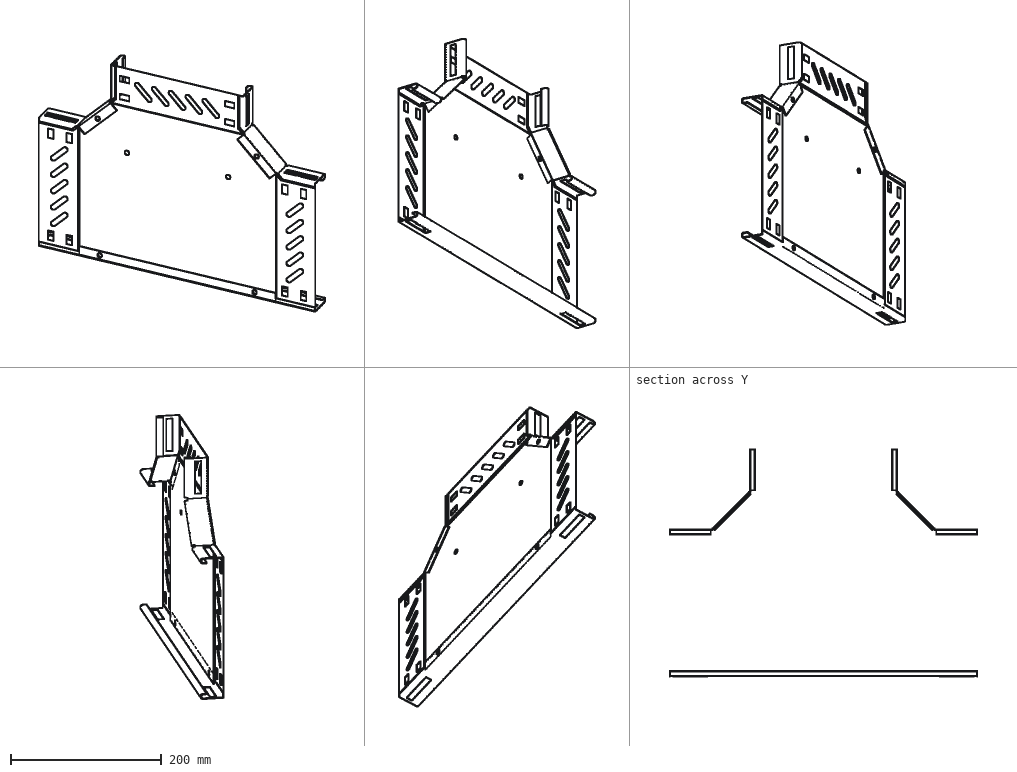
import cadquery as cq
import math


total_length = 408.0
total_height = 302.0
depth = 32.0
half_length = total_length / 2

plate_sheet = 1.0
side_sheet = 1.43
bend_radius = 1.5

arm_width = 196.0
arm_length = 57.5
half_arm = arm_width / 2
panel_half_width = half_length - arm_length
panel_top = total_height - arm_length

jog_width = 1.5
arm_side_margin = 7.8
corner_step = 1.0
arm_foot = 7.0

roll_radius = 3.88
lip_length = 5.0
wall_top = depth - roll_radius
profile_end_gap = 0.5
flange_width = 14.5
rail_flange_length = 289.8

bracket_strip = 6.0
corner_overrun = 1.5
strip_end_gap = 1.2
diagonal_end_gap = 1.85
corner_x = panel_half_width + corner_overrun
corner_z = panel_top + corner_overrun
diagonal_run = corner_x - half_arm
diagonal_length = diagonal_run * math.sqrt(2)
diagonal_sum = corner_x + arm_width

short_slot_rows = (17.5, 45.0)
short_slot_inset = 20.5
short_slot_length = 14.0
short_slot_width = 8.0
long_slot_count = 5
long_slot_pitch = 25.0
long_slot_row = 30.0
long_slot_length = 32.2
long_slot_width = 7.0
long_slot_angle = 45.0
wall_slot_length = 45.0
wall_slot_width = 8.5
wall_slot_from_end = 27.5
wall_slot_depth = 13.5

hole_diameter = 6.5
screw_inset = 8.0
rail_screw_x = 114.3
panel_hole_x = 74.5
panel_hole_z = 173.0

cutter_reach = 8.0
quarter_turn = 90.0
wall_turn = 45.0
diagonal_part = math.sqrt(0.5)


def slab(points, front, rear):
    """Flat sheet with an outline given as (x, z) points, between two depths."""
    outline = cq.Workplane("XZ", origin=(0, front, 0)).polyline(points).close()
    return outline.extrude(front - rear)


def mirrored_pair(body):
    return body.union(body.mirror("YZ"))


def front_hole(x, z):
    hole = cq.Workplane("XZ").center(x, z).circle(hole_diameter / 2)
    return hole.extrude(cutter_reach, both=True)


def horizontal_wall_slot(x, z):
    slot = cq.Workplane("XY").box(wall_slot_length, wall_slot_width, 2 * cutter_reach)
    return slot.translate((x, wall_slot_depth, z))


def vertical_wall_slot(x, z):
    slot = cq.Workplane("XY").box(2 * cutter_reach, wall_slot_width, wall_slot_length)
    return slot.translate((x, wall_slot_depth, z))


def side_profile(middle, inward, length, front_width, has_lip):
    """Flange, wall and rolled edge, extruded both ways from the middle along the wall.

    The edge rolls through a half turn and ends in a lip, or through a quarter turn without one.
    """
    inward_x, inward_z = inward
    plane = cq.Plane(
        origin=(middle[0], 0, middle[1]),
        xDir=(inward_x, 0, inward_z),
        normal=(-inward_z, 0, inward_x),
    )
    inner_radius = bend_radius - side_sheet
    outer_bend = bend_radius - bend_radius * diagonal_part
    inner_bend = bend_radius - inner_radius * diagonal_part
    inner_roll = roll_radius - side_sheet

    outline = cq.Workplane(plane).moveTo(front_width, 0).lineTo(bend_radius, 0)
    outline = outline.threePointArc((outer_bend, outer_bend), (0, bend_radius)).lineTo(0, wall_top)
    if has_lip:
        roll_end = 2 * roll_radius
        outline = outline.threePointArc((roll_radius, depth), (roll_end, wall_top))
        outline = outline.lineTo(roll_end, wall_top - lip_length)
        outline = outline.lineTo(roll_end - side_sheet, wall_top - lip_length)
        outline = outline.lineTo(roll_end - side_sheet, wall_top)
        outline = outline.threePointArc((roll_radius, depth - side_sheet), (side_sheet, wall_top))
    else:
        outer_mid = roll_radius * diagonal_part
        inner_mid = inner_roll * diagonal_part
        outline = outline.threePointArc(
            (roll_radius - outer_mid, wall_top + outer_mid), (roll_radius, depth)
        )
        outline = outline.lineTo(roll_radius, depth - side_sheet)
        outline = outline.threePointArc(
            (roll_radius - inner_mid, wall_top + inner_mid), (side_sheet, wall_top)
        )
    outline = outline.lineTo(side_sheet, bend_radius)
    outline = outline.threePointArc((inner_bend, inner_bend), (bend_radius, side_sheet))
    outline = outline.lineTo(front_width, side_sheet).close()
    return outline.extrude(length / 2, both=True)


def rail_screw_holes():
    return mirrored_pair(front_hole(-rail_screw_x, screw_inset))


def bracket_screw_hole():
    """Hole at the middle of the left bracket's diagonal flange."""
    inset = screw_inset * diagonal_part
    x = -(half_arm + diagonal_run / 2 - inset)
    z = arm_width + diagonal_run / 2 - inset
    return front_hole(x, z)


panel_sum = diagonal_sum - bend_radius / diagonal_part


def centre_panel():
    side = panel_half_width - jog_width
    top = panel_top - jog_width
    outline = [
        (-side, bend_radius), (-side, panel_sum - side), (top - panel_sum, top),
        (panel_sum - top, top), (side, panel_sum - side), (side, bend_radius),
    ]
    return slab(outline, side_sheet, side_sheet + plate_sheet)


def jog(span):
    """Ramp from an arm to the panel, rising along X, with its span along Z."""
    ramp = [
        (0, 0), (jog_width, side_sheet),
        (jog_width, side_sheet + plate_sheet), (0, plate_sheet),
    ]
    return cq.Workplane("XY").polyline(ramp).close().extrude(span)


def top_arm():
    edge = half_arm - arm_side_margin
    base = half_arm - corner_step
    shoulder = panel_top + arm_side_margin - corner_step
    outline = [
        (-base, panel_top), (-edge, shoulder), (-edge, total_height),
        (edge, total_height), (edge, shoulder), (base, panel_top),
    ]
    half_span = panel_sum - panel_top
    ramp = jog(2 * half_span).rotate((0, 0, 0), (0, 1, 0), quarter_turn)
    return slab(outline, 0, plate_sheet).union(ramp.translate((-half_span, 0, panel_top)))


def left_arm():
    edge = arm_width - arm_side_margin
    shoulder = panel_half_width + arm_side_margin - corner_step
    outline = [
        (-panel_half_width, arm_foot), (-half_length, arm_foot), (-half_length, edge),
        (-shoulder, edge), (-panel_half_width, arm_width - corner_step),
    ]
    ramp = jog(panel_sum - panel_half_width - arm_foot)
    return slab(outline, 0, plate_sheet).union(ramp.translate((-panel_half_width, 0, arm_foot)))


def arm_perforation():
    """Cutters for an arm that points up, with the middle of its end at the origin."""
    short_x = half_arm - short_slot_inset
    short_places = [(side * short_x, -row) for side in (-1, 1) for row in short_slot_rows]
    short_slots = cq.Workplane("XZ").pushPoints(short_places).rect(short_slot_length, short_slot_width)

    middle = (long_slot_count - 1) / 2
    long_places = [((i - middle) * long_slot_pitch, -long_slot_row) for i in range(long_slot_count)]
    long_slots = cq.Workplane("XZ").pushPoints(long_places)
    long_slots = long_slots.slot2D(long_slot_length, long_slot_width, -long_slot_angle)

    cutters = short_slots.extrude(cutter_reach, both=True)
    return cutters.union(long_slots.extrude(cutter_reach, both=True))


def base_plate():
    plate = centre_panel().union(top_arm()).union(mirrored_pair(left_arm()))
    perforation = arm_perforation()
    plate = plate.cut(perforation.translate((0, 0, total_height)))
    for side in (-1, 1):
        turned = perforation.rotate((0, 0, 0), (0, 1, 0), side * quarter_turn)
        plate = plate.cut(turned.translate((side * half_length, 0, half_arm)))
    plate = plate.cut(mirrored_pair(front_hole(-panel_hole_x, panel_hole_z)))
    plate = plate.cut(mirrored_pair(bracket_screw_hole()))
    return plate.cut(rail_screw_holes())


def straight_rail():
    length = total_length - 2 * profile_end_gap
    rail = side_profile((0, 0), (0, 1), length, arm_foot, has_lip=True)
    flange_end = rail_flange_length / 2
    flange = [
        (-flange_end, bend_radius), (-flange_end, flange_width),
        (flange_end, flange_width), (flange_end, bend_radius),
    ]
    rail = rail.union(slab(flange, 0, side_sheet))
    slot_x = half_length - wall_slot_from_end
    rail = rail.cut(mirrored_pair(horizontal_wall_slot(-slot_x, 0)))
    return rail.cut(rail_screw_holes())


def lower_bracket_arm(outer_end):
    """Profile along the left arm, its strip mitred beside the corner."""
    start = -corner_x - strip_end_gap
    middle = ((start - outer_end) / 2, arm_width)
    arm = side_profile(middle, (0, -1), start + outer_end, bracket_strip, has_lip=True)
    mitre = [
        (start, arm_width),
        (start - bracket_strip, arm_width - bracket_strip),
        (start, arm_width - bracket_strip),
    ]
    return arm.cut(slab(mitre, 0, side_sheet))


def upper_bracket_arm(outer_end):
    """Profile along the top arm, its strip mitred beside the corner."""
    start = corner_z + strip_end_gap
    middle = (-half_arm, (start + outer_end) / 2)
    arm = side_profile(middle, (1, 0), outer_end - start, bracket_strip, has_lip=True)
    mitre = [
        (-half_arm, start),
        (-half_arm + bracket_strip, start + bracket_strip),
        (-half_arm + bracket_strip, start),
    ]
    return arm.cut(slab(mitre, 0, side_sheet))


def bracket_diagonal():
    middle = (-half_arm - diagonal_run / 2, arm_width + diagonal_run / 2)
    inward = (diagonal_part, -diagonal_part)
    length = diagonal_length - 2 * diagonal_end_gap
    return side_profile(middle, inward, length, flange_width, has_lip=False)


def bracket_wall(left_end, top_end):
    """Wall that runs unbroken round both corners of the left bracket."""
    inner_shift = side_sheet * math.tan(math.radians(wall_turn / 2))
    inner_x = -half_arm + side_sheet
    inner_z = arm_width - side_sheet
    outline = [
        (-left_end, arm_width), (-corner_x, arm_width), (-half_arm, corner_z), (-half_arm, top_end),
        (inner_x, top_end), (inner_x, corner_z - inner_shift),
        (-corner_x + inner_shift, inner_z), (-left_end, inner_z),
    ]
    return slab(outline, bend_radius, wall_top)


def corner_bracket(side):
    left_end = half_length - profile_end_gap
    top_end = total_height - profile_end_gap
    bracket = bracket_wall(left_end, top_end).union(bracket_diagonal())
    bracket = bracket.union(lower_bracket_arm(left_end)).union(upper_bracket_arm(top_end))
    bracket = bracket.cut(horizontal_wall_slot(wall_slot_from_end - half_length, arm_width))
    bracket = bracket.cut(vertical_wall_slot(-half_arm, total_height - wall_slot_from_end))
    bracket = bracket.cut(bracket_screw_hole())
    if side > 0:
        bracket = bracket.mirror("YZ")
    return bracket


plate = base_plate()
rail = straight_rail()
brackets = [corner_bracket(side) for side in (-1, 1)]

result = cq.Compound.makeCompound(
    [plate.val(), rail.val(), *[bracket.val() for bracket in brackets]]
)